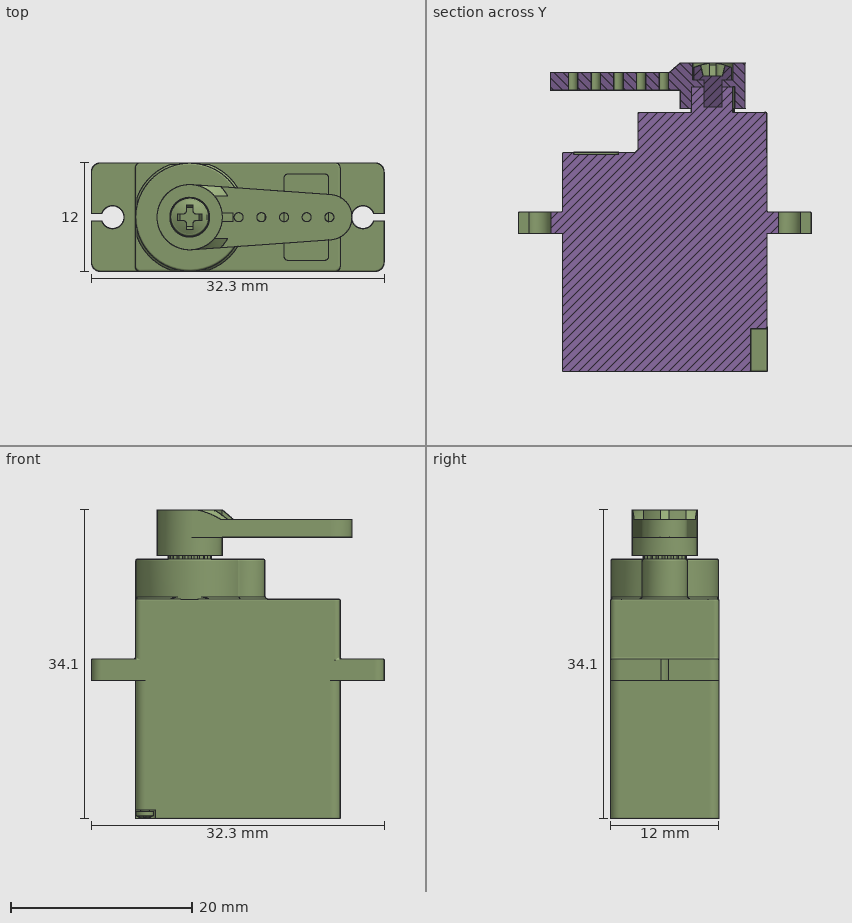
import cadquery as cq
import math

BODY_LENGTH = 22.6
BODY_WIDTH = 12.0
FLANGE_LENGTH = 32.3
FLANGE_BOTTOM = 15.2
FLANGE_TOP = 17.6
BODY_TOP = 24.2
LOWER_CORNER_RADIUS = 1.05
UPPER_CORNER_RADIUS = 0.6
EDGE_RADIUS = 0.2
FLANGE_EDGE_RADIUS = 0.15
BOTTOM_EDGE_RADIUS = 0.1

MOUNT_HOLE_DIAMETER = 2.5
MOUNT_HOLE_SPACING = 27.6
MOUNT_SLIT_WIDTH = 0.8

OUTPUT_X = -5.3
COVER_RADIUS = 5.95
COVER_TOP = 28.6
IDLER_X = 0.5
IDLER_RADIUS = 2.5
COVER_CREASE_RADIUS = 0.15
COVER_FOOT_SIZE = 0.25

LABEL_X = 7.56
LABEL_LENGTH = 4.9
LABEL_WIDTH = 9.5
LABEL_DEPTH = 0.25
LABEL_CORNER_RADIUS = 0.4

CABLE_SLOT_WIDTH = 3.2
CABLE_SLOT_HEIGHT = 4.72
CABLE_SLOT_DEPTH = 1.8

CASE_RECESS_SIZE = 2.25
CASE_RECESS_DEPTH = 0.95
CASE_RECESS_CORNER_RADIUS = 0.4

SPLINE_TIP_DIAMETER = 4.8
SPLINE_ROOT_DIAMETER = 4.4
SPLINE_TEETH = 21
SPLINE_TOP = 31.4

HUB_DIAMETER = 7.2
HUB_BOTTOM = 29.0
HUB_TOP = 34.05
ARM_BOTTOM = 31.0
ARM_TOP = 33.0
ARM_TIP_RADIUS = 2.5
ARM_HOLE_DIAMETER = 1.0
ARM_HOLE_COUNT = 5
ARM_HOLE_PITCH = 2.5
FIRST_ARM_HOLE_OFFSET = 5.4
GUSSET_FOOT_RADIUS = 4.8
CENTRE_GUSSET_WIDTH = 0.9
GUSSET_GAP_HALF_WIDTH = 2.36
SCREW_RECESS_DIAMETER = 4.4
SCREW_SEAT = 32.2

CROSS_TOP_SPAN = 0.667
CROSS_BOTTOM_SPAN = 0.5
CROSS_ARM_WIDTH = 0.167
CROSS_CORNER_RADIUS = 0.095
SCREW_RIM_RADIUS = 0.048

SCREW_HEAD_DIAMETER = 4.2
SCREW_RIM_HEIGHT = 1.4
SCREW_DOME_HEIGHT = 0.4
SCREW_CROSS_DEPTH = 1.4
SCREW_SHANK_DIAMETER = 1.92
SCREW_SHANK_LENGTH = 3.0

CASE_SCREW_INSET = 1.05
CASE_SCREW_X = CASE_SCREW_INSET - BODY_LENGTH / 2
CASE_SCREW_Y = CASE_SCREW_INSET - BODY_WIDTH / 2
CASE_SCREW_HEAD_DIAMETER = 1.92
CASE_SCREW_RIM_HEIGHT = 0.5
CASE_SCREW_DOME_HEIGHT = 0.3
CASE_SCREW_SEAT = CASE_SCREW_RIM_HEIGHT + CASE_SCREW_DOME_HEIGHT
CASE_SCREW_CROSS_DEPTH = 0.5
CASE_SCREW_SHANK_DIAMETER = 1.0
CASE_SCREW_SHANK_LENGTH = 4.0


def cylinder(x, y, bottom, top, diameter):
    return cq.Workplane("XY", origin=(x, y, bottom)).circle(diameter / 2).extrude(top - bottom)


def block(length, width, bottom, top):
    return cq.Workplane("XY").workplane(offset=bottom).rect(length, width).extrude(top - bottom)


def make_screw(head_diameter, rim_height, dome_height, cross_depth, shank_diameter, shank_length):
    """Upright screw with its seat at the origin: domed head with a cross recess, plain shank below."""
    rim_radius = SCREW_RIM_RADIUS * head_diameter
    rim = cylinder(0, 0, 0, rim_height, head_diameter)
    rim = rim.faces(">Z").edges().fillet(rim_radius)

    dome_radius = head_diameter / 2 - rim_radius
    head_top = rim_height + dome_height
    sphere_radius = (dome_radius**2 + dome_height**2) / (2 * dome_height)
    sphere = cq.Workplane("XY", origin=(0, 0, head_top - sphere_radius)).sphere(sphere_radius)
    dome = sphere.intersect(cylinder(0, 0, rim_height, head_top, 2 * dome_radius))
    shank = cylinder(0, 0, -shank_length, 0, shank_diameter)

    top_half = CROSS_TOP_SPAN * head_diameter / 2
    bottom_half = CROSS_BOTTOM_SPAN * head_diameter / 2
    cross_bottom = head_top - cross_depth
    arm = (
        cq.Workplane("XZ")
        .moveTo(-top_half, head_top)
        .lineTo(-bottom_half, cross_bottom)
        .lineTo(bottom_half, cross_bottom)
        .lineTo(top_half, head_top)
        .close()
        .extrude(CROSS_ARM_WIDTH * head_diameter / 2, both=True)
    )
    cross = arm.union(arm.rotate((0, 0, 0), (0, 0, 1), 90))
    cross = cross.edges("|Z").fillet(CROSS_CORNER_RADIUS * head_diameter)
    return rim.union(dome).union(shank).cut(cross)


def make_case():
    lower = block(BODY_LENGTH, BODY_WIDTH, 0, FLANGE_BOTTOM)
    lower = lower.edges("|Z").fillet(LOWER_CORNER_RADIUS)
    lower = lower.faces("<Z").edges().fillet(BOTTOM_EDGE_RADIUS)

    flange = block(FLANGE_LENGTH, BODY_WIDTH, FLANGE_BOTTOM, FLANGE_TOP)
    flange = flange.edges("|Z").fillet(LOWER_CORNER_RADIUS)
    flange = flange.faces(">Z").edges().fillet(FLANGE_EDGE_RADIUS)
    for side in (-1, 1):
        hole_x = side * MOUNT_HOLE_SPACING / 2
        flange = flange.cut(cylinder(hole_x, 0, FLANGE_BOTTOM, FLANGE_TOP, MOUNT_HOLE_DIAMETER))
        slit = block(MOUNT_HOLE_DIAMETER * 2, MOUNT_SLIT_WIDTH, FLANGE_BOTTOM, FLANGE_TOP)
        flange = flange.cut(slit.translate((hole_x + side * MOUNT_HOLE_DIAMETER, 0, 0)))

    upper = block(BODY_LENGTH, BODY_WIDTH, FLANGE_BOTTOM, BODY_TOP)
    upper = upper.edges("|Z").fillet(UPPER_CORNER_RADIUS)
    upper = upper.faces(">Z").edges().fillet(EDGE_RADIUS)

    case = lower.union(flange).union(upper)
    for side in (-1, 1):
        root = cq.selectors.NearestToPointSelector((side * BODY_LENGTH / 2, 0, FLANGE_TOP))
        case = case.edges(root).fillet(FLANGE_EDGE_RADIUS)
    return case


def make_gear_cover():
    """Two merged round towers with a sloped foot that stays on the flat top of the case."""
    circles = ((OUTPUT_X, COVER_RADIUS), (IDLER_X, IDLER_RADIUS))
    tower_bottom = BODY_TOP - EDGE_RADIUS
    tower = cq.Workplane("XY")
    foot = cq.Workplane("XY")
    for x, radius in circles:
        tower = tower.union(cylinder(x, 0, tower_bottom, COVER_TOP, 2 * radius))
        cone = cq.Solid.makeCone(
            radius + COVER_FOOT_SIZE, radius, COVER_FOOT_SIZE, pnt=cq.Vector(x, 0, BODY_TOP)
        )
        foot = foot.union(cq.Workplane(cone))

    crease = cq.selectors.BoxSelector(
        (OUTPUT_X, -COVER_RADIUS, tower_bottom), (IDLER_X, COVER_RADIUS, COVER_TOP)
    )
    tower = tower.edges("|Z").edges(crease).fillet(COVER_CREASE_RADIUS)
    tower = tower.faces(">Z").edges().fillet(EDGE_RADIUS)
    flat_top = block(
        BODY_LENGTH - 2 * EDGE_RADIUS, BODY_WIDTH - 2 * EDGE_RADIUS, BODY_TOP, BODY_TOP + COVER_FOOT_SIZE
    )
    return tower.union(foot.intersect(flat_top))


def cut_label_recess(case):
    recess = block(LABEL_LENGTH, LABEL_WIDTH, BODY_TOP - LABEL_DEPTH, BODY_TOP)
    recess = recess.edges("|Z").fillet(LABEL_CORNER_RADIUS)
    return case.cut(recess.translate((LABEL_X, 0, 0)))


def cut_cable_slot(case):
    slot = block(2 * CABLE_SLOT_DEPTH, CABLE_SLOT_WIDTH, 0, CABLE_SLOT_HEIGHT)
    case = case.cut(slot.translate((-BODY_LENGTH / 2, 0, 0)))
    end_face = case.faces(cq.selectors.NearestToPointSelector((-BODY_LENGTH / 2, 0, FLANGE_BOTTOM / 2)))
    mouth = cq.selectors.BoxSelector(
        (-BODY_LENGTH, -CABLE_SLOT_WIDTH, BOTTOM_EDGE_RADIUS),
        (0, CABLE_SLOT_WIDTH, CABLE_SLOT_HEIGHT + EDGE_RADIUS),
    )
    return end_face.edges(mouth).fillet(EDGE_RADIUS)


def cut_case_screw_recess(case):
    """Recess across one bottom corner, with the hole for the screw shank in its ceiling."""
    recess = block(2 * CASE_RECESS_SIZE, 2 * CASE_RECESS_SIZE, 0, CASE_RECESS_DEPTH)
    recess = recess.edges("|Z").fillet(CASE_RECESS_CORNER_RADIUS)
    recess = recess.translate((-BODY_LENGTH / 2, -BODY_WIDTH / 2, 0))
    hole_top = CASE_SCREW_SEAT + CASE_SCREW_SHANK_LENGTH
    hole = cylinder(CASE_SCREW_X, CASE_SCREW_Y, 0, hole_top, CASE_SCREW_SHANK_DIAMETER)
    return case.cut(recess).cut(hole)


def make_output_shaft():
    tooth_angle = 2 * math.pi / SPLINE_TEETH
    points = []
    for tooth in range(SPLINE_TEETH):
        for step, diameter in ((0, SPLINE_TIP_DIAMETER), (0.5, SPLINE_ROOT_DIAMETER)):
            angle = (tooth + step) * tooth_angle
            points.append((diameter / 2 * math.cos(angle), diameter / 2 * math.sin(angle)))
    teeth = cq.Workplane("XY", origin=(OUTPUT_X, 0, COVER_TOP)).polyline(points).close()
    return teeth.extrude(SPLINE_TOP - COVER_TOP)


def make_housing():
    case = make_case()
    case = cut_label_recess(case)
    case = cut_cable_slot(case)
    case = cut_case_screw_recess(case)
    case = case.union(make_gear_cover()).union(make_output_shaft())
    screw_hole_bottom = SCREW_SEAT - SCREW_SHANK_LENGTH
    return case.cut(cylinder(OUTPUT_X, 0, screw_hole_bottom, SPLINE_TOP, SCREW_SHANK_DIAMETER))


def arm_outline():
    """Outline of the tapered arm around the hub: flat sides tangent to the hub and to the round tip."""
    hub_radius = HUB_DIAMETER / 2
    tip_x = FIRST_ARM_HOLE_OFFSET + (ARM_HOLE_COUNT - 1) * ARM_HOLE_PITCH
    taper = math.asin((hub_radius - ARM_TIP_RADIUS) / tip_x)
    hub_touch = (hub_radius * math.sin(taper), hub_radius * math.cos(taper))
    tip_touch = (tip_x + ARM_TIP_RADIUS * math.sin(taper), ARM_TIP_RADIUS * math.cos(taper))
    return (
        cq.Workplane("XY", origin=(OUTPUT_X, 0, ARM_BOTTOM))
        .moveTo(hub_touch[0], -hub_touch[1])
        .lineTo(tip_touch[0], -tip_touch[1])
        .threePointArc((tip_x + ARM_TIP_RADIUS, 0), tip_touch)
        .lineTo(*hub_touch)
        .threePointArc((-hub_radius, 0), (hub_touch[0], -hub_touch[1]))
        .close()
    )


def make_gussets():
    """Sloped ribs from the hub rim down to the arm: one on the centre line, one along each side."""
    height = HUB_TOP - ARM_TOP
    cone = cq.Workplane(
        cq.Solid.makeCone(
            GUSSET_FOOT_RADIUS, HUB_DIAMETER / 2, height, pnt=cq.Vector(OUTPUT_X, 0, ARM_TOP)
        )
    )
    outline = arm_outline().extrude(HUB_TOP - ARM_BOTTOM)
    gap = block(4 * HUB_DIAMETER, 2 * GUSSET_GAP_HALF_WIDTH, ARM_TOP, HUB_TOP)
    gap = gap.cut(block(4 * HUB_DIAMETER, CENTRE_GUSSET_WIDTH, ARM_TOP, HUB_TOP))
    return cone.intersect(outline).cut(gap)


def make_horn():
    horn = cylinder(OUTPUT_X, 0, HUB_BOTTOM, HUB_TOP, HUB_DIAMETER)
    horn = horn.union(arm_outline().extrude(ARM_TOP - ARM_BOTTOM)).union(make_gussets())
    for index in range(ARM_HOLE_COUNT):
        hole_x = OUTPUT_X + FIRST_ARM_HOLE_OFFSET + index * ARM_HOLE_PITCH
        horn = horn.cut(cylinder(hole_x, 0, ARM_BOTTOM, ARM_TOP, ARM_HOLE_DIAMETER))
    horn = horn.cut(cylinder(OUTPUT_X, 0, HUB_BOTTOM, SPLINE_TOP, SPLINE_TIP_DIAMETER))
    horn = horn.cut(cylinder(OUTPUT_X, 0, SPLINE_TOP, SCREW_SEAT, SCREW_SHANK_DIAMETER))
    return horn.cut(cylinder(OUTPUT_X, 0, SCREW_SEAT, HUB_TOP, SCREW_RECESS_DIAMETER))


def make_horn_screw():
    """Screw through the horn into the output shaft."""
    screw = make_screw(
        SCREW_HEAD_DIAMETER,
        SCREW_RIM_HEIGHT,
        SCREW_DOME_HEIGHT,
        SCREW_CROSS_DEPTH,
        SCREW_SHANK_DIAMETER,
        SCREW_SHANK_LENGTH,
    )
    return screw.translate((OUTPUT_X, 0, SCREW_SEAT))


def make_case_screw():
    """Small screw pointing up into the corner of the housing, its head level with the bottom."""
    screw = make_screw(
        CASE_SCREW_HEAD_DIAMETER,
        CASE_SCREW_RIM_HEIGHT,
        CASE_SCREW_DOME_HEIGHT,
        CASE_SCREW_CROSS_DEPTH,
        CASE_SCREW_SHANK_DIAMETER,
        CASE_SCREW_SHANK_LENGTH,
    )
    upside_down = screw.rotate((0, 0, 0), (1, 0, 0), 180)
    return upside_down.translate((CASE_SCREW_X, CASE_SCREW_Y, CASE_SCREW_SEAT))


housing = make_housing()
horn = make_horn()
horn_screw = make_horn_screw()
case_screw = make_case_screw()
result = cq.Compound.makeCompound([housing.val(), horn.val(), horn_screw.val(), case_screw.val()])